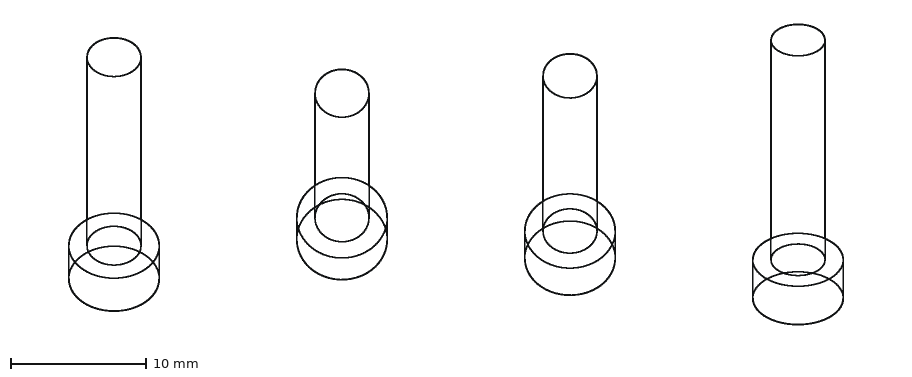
import cadquery as cq

total_length = 23.5
head_diameter = 6.7
head_height = 3.5
shank_diameter = 4.0

shank_length = total_length - head_height

head = cq.Workplane("XY").circle(head_diameter / 2).extrude(head_height)

result = head.faces(">Z").workplane().circle(shank_diameter / 2).extrude(shank_length)